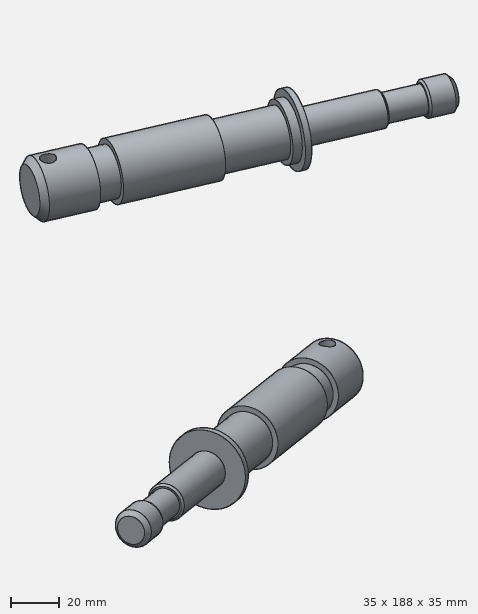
import cadquery as cq

total_length = 188.0
flange_diameter = 35.0

plug_diameter = 28.0
plug_groove_diameter = 23.1
plug_chamfer = 3.0
plug_head_end = 25.8
plug_groove_end = 36.0
plug_sleeve_end = 81.2
collar_start = 111.1
flange_start = 115.2
flange_end = 118.0

stud_diameter = 16.5
stud_neck_diameter = 13.2
stud_shoulder_end = 156.6
stud_head_start = 174.3
stud_tip_chamfer = 2.0
stud_edge_chamfer = 1.0

pin_hole_diameter = 7.0
pin_hole_position = 8.0


def turned_section(diameter, start, end):
    """Solid cylinder on the Y axis between two positions."""
    return cq.Workplane("XZ", origin=(0, start, 0)).circle(diameter / 2).extrude(start - end)


plug_head = turned_section(plug_diameter, 0, plug_head_end).faces("<Y").chamfer(plug_chamfer)

plug_core = turned_section(plug_groove_diameter, plug_head_end, flange_start)
plug_sleeve = turned_section(plug_diameter, plug_groove_end, plug_sleeve_end)
collar = turned_section(plug_diameter, collar_start, flange_start)
flange = turned_section(flange_diameter, flange_start, flange_end)

stud_shank = turned_section(stud_diameter, flange_end, stud_shoulder_end)
stud_shank = stud_shank.faces(">Y").chamfer(stud_edge_chamfer)
stud_neck = turned_section(stud_neck_diameter, stud_shoulder_end, stud_head_start)
stud_head = turned_section(stud_diameter, stud_head_start, total_length)
stud_head = stud_head.faces("<Y").chamfer(stud_edge_chamfer)
stud_head = stud_head.faces(">Y").chamfer(stud_tip_chamfer)

pin_hole = (
    cq.Workplane("XY", origin=(0, pin_hole_position, 0))
    .circle(pin_hole_diameter / 2)
    .extrude(plug_diameter, both=True)
)

result = plug_head
for section in (plug_core, plug_sleeve, collar, flange, stud_shank, stud_neck, stud_head):
    result = result.union(section)
result = result.cut(pin_hole)